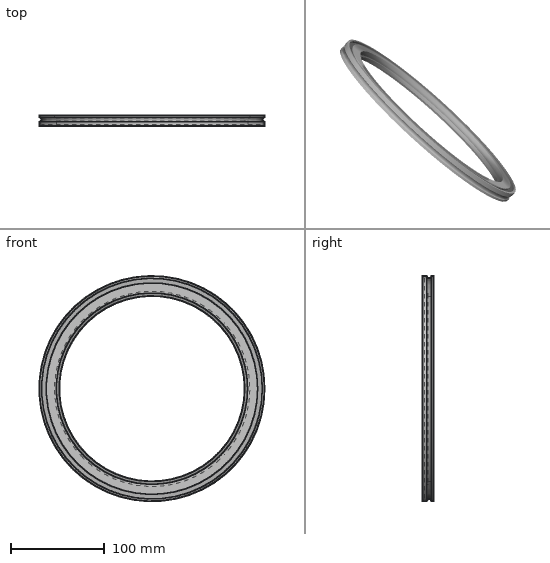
import cadquery as cq

outer_radius = 120.015
bore_radius = 98.55
width = 11.94
front_y = -width / 2
back_y = width / 2

front_counterbore_radius = 101.85
front_counterbore_depth = 5.62
back_counterbore_radius = 104.0
back_counterbore_depth = 2.8

face_groove_inner_radius = 112.5
face_groove_outer_radius = 117.475
face_groove_depth = 2.15

rim_groove_radius = 2.38
rim_groove_back_distance = 4.76


def tube(inner_radius, outer_radius, start_y, length):
    """Round tube about the Y axis that runs from start_y toward +Y."""
    return (
        cq.Workplane("XZ", origin=(0, start_y, 0))
        .circle(outer_radius)
        .circle(inner_radius)
        .extrude(-length)
    )


def front_counterbore():
    return tube(bore_radius, front_counterbore_radius, front_y, front_counterbore_depth)


def back_counterbore():
    floor_y = back_y - back_counterbore_depth
    return tube(bore_radius, back_counterbore_radius, floor_y, back_counterbore_depth)


def face_groove():
    return tube(face_groove_inner_radius, face_groove_outer_radius, front_y, face_groove_depth)


def rim_groove():
    """Torus centred on the rim; its inner half forms the groove."""
    centre = cq.Vector(0, back_y - rim_groove_back_distance, 0)
    axis = cq.Vector(0, 1, 0)
    return cq.Workplane(cq.Solid.makeTorus(outer_radius, rim_groove_radius, centre, axis))


ring = tube(bore_radius, outer_radius, front_y, width)

result = (
    ring.cut(front_counterbore())
    .cut(back_counterbore())
    .cut(face_groove())
    .cut(rim_groove())
)